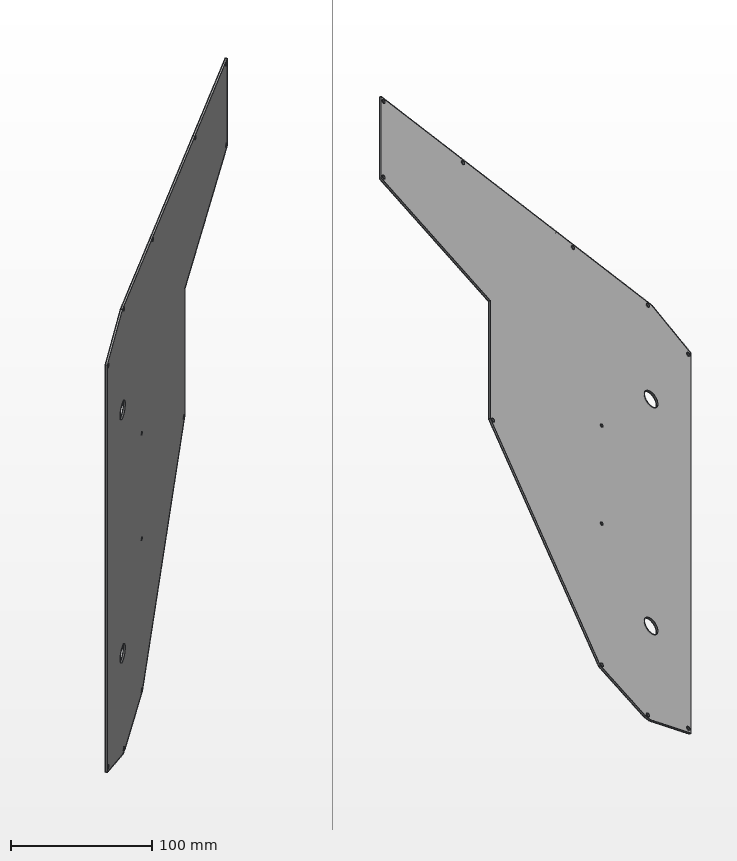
import cadquery as cq

thickness = 1.57
width = 325.5
height = 414.0
front = -width / 2
back = width / 2
top = height / 2
bottom = -height / 2

arm_height = 81.0
step_y = 48.0
step_top_z = 87.5
step_bottom_z = -30.0
top_corner_y = -121.5
bevel_height = 18.0
toe_y = -117.5
toe_half_length = 3.0
heel_y = -67.5
heel_z = -191.5

edge_inset = 3.0
rim_hole_diameter = 3.05
inner_hole_diameter = 2.52
large_hole_diameter = 14.0
large_hole_y = -121.0
large_hole_z = 113.0
inner_hole_z = 49.0
inner_hole_y = -69.0
front_hole_z = 186.2
top_hole_positions = [76.5, -39.0]
arm_lower_hole_z = 128.5
step_hole_z = -29.5
heel_hole_z = -189.5

outline = [
    (back, top),
    (top_corner_y, top),
    (front, top - bevel_height),
    (front, bottom + bevel_height),
    (toe_y - toe_half_length, bottom),
    (toe_y + toe_half_length, bottom),
    (heel_y, heel_z),
    (step_y, step_bottom_z),
    (step_y, step_top_z),
    (back, top - arm_height),
]

rim_holes = [(y, top - edge_inset) for y in top_hole_positions]
rim_holes += [
    (back - edge_inset, top - edge_inset),
    (toe_y, top - edge_inset),
    (front + edge_inset, front_hole_z),
    (front + edge_inset, -front_hole_z),
    (toe_y, bottom + edge_inset),
    (inner_hole_y, heel_hole_z),
    (step_y - edge_inset, step_hole_z),
    (back - edge_inset, arm_lower_hole_z),
]
inner_holes = [(inner_hole_y, inner_hole_z), (inner_hole_y, -inner_hole_z)]
large_holes = [(large_hole_y, large_hole_z), (large_hole_y, -large_hole_z)]


def drill(plate, centres, diameter):
    """Cut round through holes at the given (Y, Z) centres."""
    pins = (
        cq.Workplane("YZ")
        .pushPoints(centres)
        .circle(diameter / 2)
        .extrude(thickness, both=True)
    )
    return plate.cut(pins)


plate = cq.Workplane("YZ").polyline(outline).close().extrude(thickness / 2, both=True)
plate = drill(plate, rim_holes, rim_hole_diameter)
plate = drill(plate, inner_holes, inner_hole_diameter)
result = drill(plate, large_holes, large_hole_diameter)